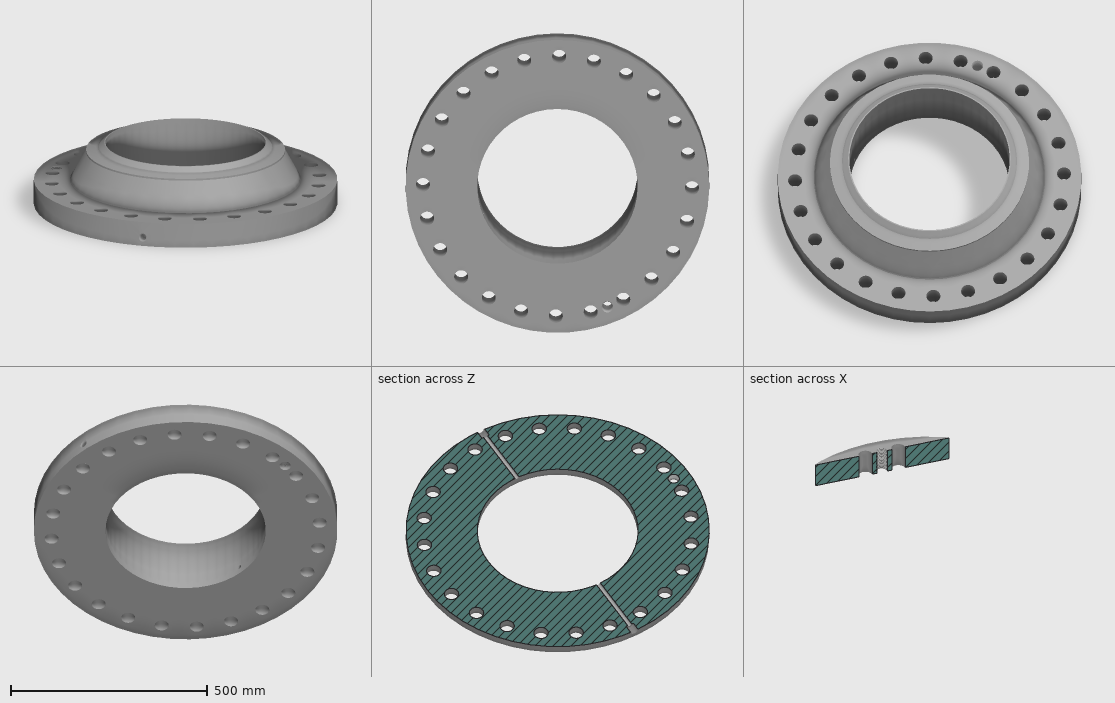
import cadquery as cq

flange_radius = 387.0
flange_thickness = 63.5
bore_radius = 204.5

total_height = 162.0
hub_foot_radius = 293.0
hub_foot_height = 66.0
hub_foot_flare = 2.0
hub_shoulder_radius = 254.0
hub_cone_top = 138.0
hub_shoulder_top = 142.5
weld_bevel_radius = 223.0
weld_bevel_height = 149.5
weld_land_radius = 208.0

bolt_count = 24
bolt_circle_radius = 343.0
bolt_hole_diameter = 36.0
bolt_step_angle = 360 / bolt_count

jack_major_radius = 15.0
jack_minor_radius = 13.0
jack_pitch_count = 18

tap_height = 22.5
tap_major_radius = 11.0
tap_minor_radius = 8.5
tap_thread_depth = 23.0
tap_pitch_count = 12
tap_drill_diameter = 11.0


def flange_body():
    """Flange plate, tapered hub and weld bevel, revolved around Z as one ring."""
    profile = (
        cq.Workplane("XZ")
        .moveTo(bore_radius, 0)
        .lineTo(flange_radius, 0)
        .lineTo(flange_radius, flange_thickness)
        .lineTo(hub_foot_radius + hub_foot_flare, flange_thickness)
        .lineTo(hub_foot_radius, hub_foot_height)
        .lineTo(hub_shoulder_radius, hub_cone_top)
        .lineTo(hub_shoulder_radius, hub_shoulder_top)
        .lineTo(weld_bevel_radius, weld_bevel_height)
        .lineTo(weld_land_radius, total_height)
        .lineTo(bore_radius, total_height)
        .close()
    )
    return profile.revolve(360, (0, 0, 0), (0, 1, 0))


def bolt_holes():
    """Through holes on the bolt circle, straddling the X and Y axes."""
    return (
        cq.Workplane("XY")
        .polarArray(bolt_circle_radius, bolt_step_angle / 2, 360, bolt_count)
        .circle(bolt_hole_diameter / 2)
        .extrude(flange_thickness)
    )


def threaded_plug(major_radius, minor_radius, length, pitch_count):
    """Solid of a threaded hole from Z = 0 up to length, with ring-shaped V grooves as the thread."""
    pitch = length / pitch_count
    profile = cq.Workplane("XZ").lineTo(major_radius, 0)
    for turn in range(pitch_count):
        profile = profile.lineTo(minor_radius, (turn + 0.5) * pitch)
        profile = profile.lineTo(major_radius, (turn + 1) * pitch)
    return profile.lineTo(0, length).close().revolve(360, (0, 0, 0), (0, 1, 0))


def jack_hole():
    """Threaded through hole between two bolt holes."""
    plug = threaded_plug(jack_major_radius, jack_minor_radius, flange_thickness, jack_pitch_count)
    return plug.translate((-bolt_circle_radius, 0, 0))


def tap_hole():
    """Radial hole from the -Y rim to the bore, threaded at its mouth."""
    thread = threaded_plug(tap_major_radius, tap_minor_radius, tap_thread_depth, tap_pitch_count)
    drill = cq.Workplane("XY").circle(tap_drill_diameter / 2).extrude(flange_radius)
    hole = thread.union(drill).rotate((0, 0, 0), (1, 0, 0), -90)
    return hole.translate((0, -flange_radius, tap_height))


result = flange_body().cut(bolt_holes()).cut(jack_hole())
for angle in (0, 180):
    result = result.cut(tap_hole().rotate((0, 0, 0), (0, 0, 1), angle))